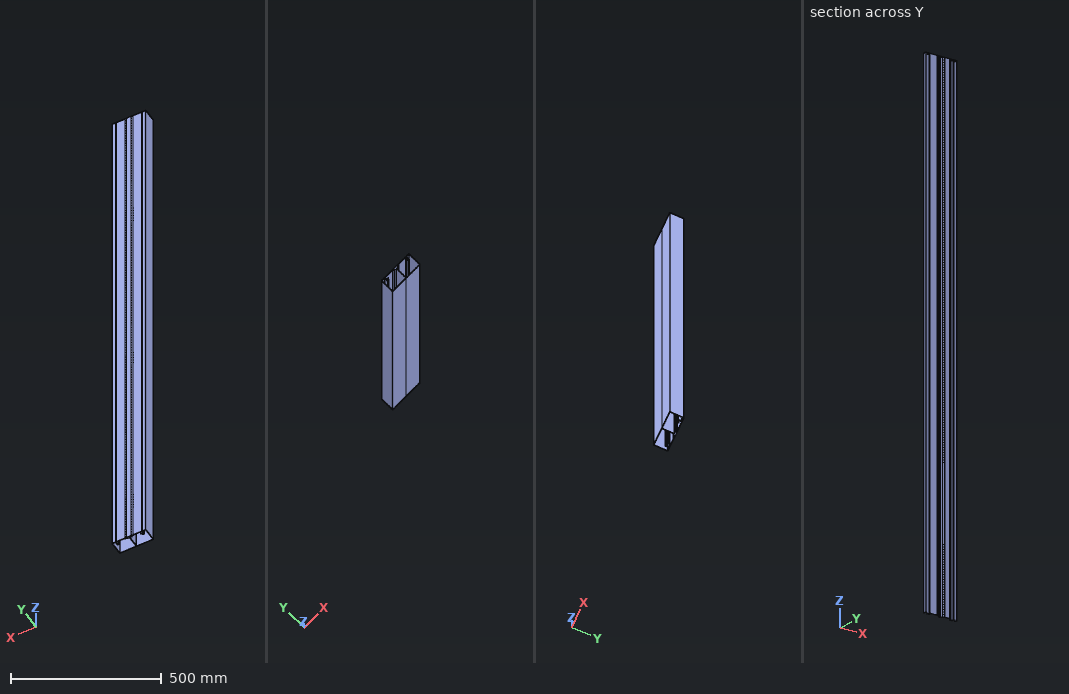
import cadquery as cq

LENGTH = 2000.0
WIDTH = 130.0
DEPTH = 53.0

WALL = 2.0
CORNER_RADIUS = 2.5
PARTITION = 2.0
HEAD_WIDTH = 16.0
HEAD_DEPTH = 6.5
OPENING = 41.0
LIP_LEG = 3.0
LIP_LEG_DEPTH = 15.5

FOOT_WIDTH = 7.0
FOOT_DEPTH = 4.0

RAIL_SHEET = 1.0
RAIL_CHANNEL = 5.0
RAIL_WIDTH = 9.0
RAIL_FLANGE_DEPTH = 9.0

SIDE = WIDTH / 2
BACK = -DEPTH / 2
FACE = DEPTH / 2
INNER_SIDE = SIDE - WALL
INNER_BACK = BACK + WALL
INNER_FACE = FACE - WALL
OPENING_INNER = HEAD_WIDTH / 2
OPENING_OUTER = OPENING_INNER + OPENING


def bar(x_min, x_max, y_min, y_max):
    """Rectangular bar over the full length."""
    size_x = x_max - x_min
    size_y = y_max - y_min
    corner = (x_min, y_min, -LENGTH / 2)
    return cq.Workplane("XY", origin=corner).rect(size_x, size_y, centered=False).extrude(LENGTH)


def mirrored(body):
    """The matching body on the other side of the partition."""
    return body.mirror("YZ")


def make_housing():
    shell = bar(-SIDE, SIDE, BACK, FACE).edges("|Z").fillet(CORNER_RADIUS)
    cavity = bar(-INNER_SIDE, INNER_SIDE, INNER_BACK, INNER_FACE)
    mouth = bar(-OPENING_OUTER, OPENING_OUTER, INNER_FACE, FACE)
    partition = bar(-PARTITION / 2, PARTITION / 2, INNER_BACK, FACE)
    head = bar(-OPENING_INNER, OPENING_INNER, FACE - HEAD_DEPTH, FACE)
    lip_leg = bar(OPENING_OUTER, OPENING_OUTER + LIP_LEG, FACE - LIP_LEG_DEPTH, INNER_FACE)
    housing = shell.cut(cavity).cut(mouth)
    for feature in (partition, head, lip_leg, mirrored(lip_leg)):
        housing = housing.union(feature)
    return housing


def make_cover():
    """Cover of the +X opening."""
    plate = bar(OPENING_INNER, OPENING_OUTER, INNER_FACE, FACE)
    foot = bar(OPENING_INNER, OPENING_INNER + FOOT_WIDTH, FACE - FOOT_DEPTH, INNER_FACE)
    return plate.union(foot)


def make_rail():
    """Rail on the +X lip leg: a web, a channel floor, an upstand and a free flange."""
    bottom = FACE - LIP_LEG_DEPTH
    flange_top = FACE - RAIL_FLANGE_DEPTH
    upstand_x = OPENING_OUTER - RAIL_CHANNEL
    flange_end = OPENING_OUTER - RAIL_WIDTH
    web = bar(OPENING_OUTER - RAIL_SHEET, OPENING_OUTER, bottom, INNER_FACE)
    floor = bar(upstand_x, OPENING_OUTER, bottom, bottom + RAIL_SHEET)
    upstand = bar(upstand_x, upstand_x + RAIL_SHEET, bottom, flange_top)
    flange = bar(flange_end, upstand_x + RAIL_SHEET, flange_top - RAIL_SHEET, flange_top)
    return web.union(floor).union(upstand).union(flange)


housing = make_housing()
bodies = [housing.val()]
for side_body in (make_cover(), make_rail()):
    bodies.append(side_body.val())
    bodies.append(mirrored(side_body).val())

result = cq.Compound.makeCompound(bodies)